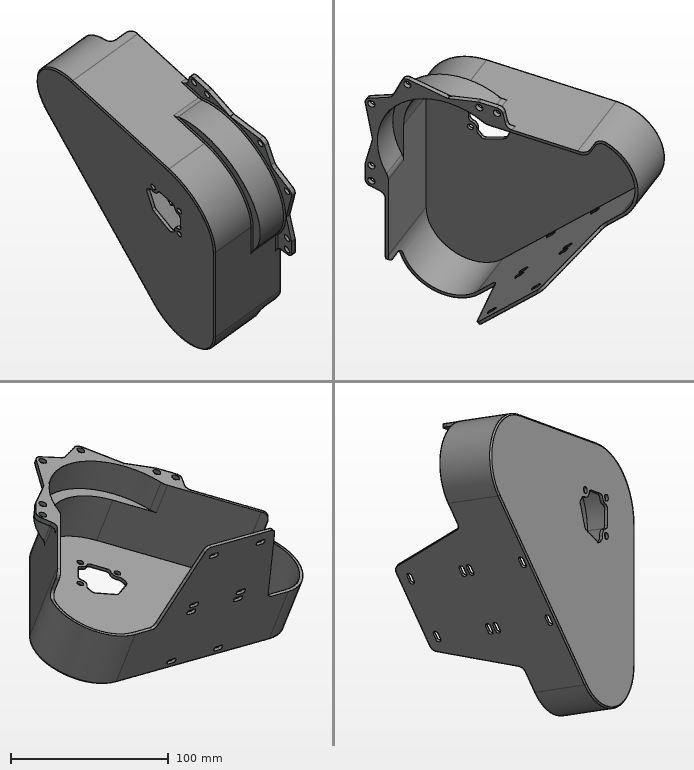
import cadquery as cq
import math

TOTAL = 184.7
DEPTH = 97.3

SHELL_TOP = 170.5
TIP_R = 34.0
CORNER_R = 44.5
WALL = 2.2
EDGE = 1.0
LOW_RIM = 38.5
HIGH_RIM = 56.0
STEP_AT = 27.9
ROUND_R = 5.0
TIP_FAR = SHELL_TOP - TIP_R
CORNER = SHELL_TOP - CORNER_R

BULGE_R = 52.3
BULGE_FRONT = 32.0
BULGE_FOOT_R = 6.5

FLANGE_T = 3.1
FLANGE_FRONT = HIGH_RIM - FLANGE_T
PAD_R = 4.5
PAD_LINE = TOTAL - PAD_R
PAD_ALONG = (91.2, 103.8, 154.8)
PAD_HOLE_D = 5.0
WAIST_R = 53.5
NOTCH = 165.9
FOOT_LEAN = 13.0

TAB_HALF = 31.8
TAB_FLARE = 20.0
SLOT_W = 3.3
SLOT_L = 8.0
SLOT_HALF_SPACING = 22.2
SLOT_ROWS = (5.4, 44.5, 50.0, 89.2)

WINDOW_HOLES = (112.0, 136.9)
WINDOW_HOLE_D = 4.2
WINDOW_LAND_R = 4.6
WINDOW_EDGE = 138.2
WINDOW_SHORT = 115.0
WINDOW_TIP = (105.3, 128.2)
WINDOW_INNER = 111.5
WINDOW_ROUND_R = 2.8

TOL = 0.02


def at_depth(y):
    """Sketch plane parallel to the front face: local x is X, local y is Z."""
    return cq.Workplane("XZ", origin=(0, y, 0))


def polar(center, radius, degrees):
    """Point at a radius and bearing from center, counterclockwise from +X toward +Z."""
    angle = math.radians(degrees)
    return (center[0] + radius * math.cos(angle), center[1] + radius * math.sin(angle))


def with_mirror(half):
    """Half plus its mirror image about the plane X = Z."""
    return half.union(half.mirror(cq.Vector(1, 0, -1)))


def shell_block(inset, y_start, y_end):
    """Solid with the triangular outline, moved inward by inset."""
    left, right, low = (TIP_R, TIP_FAR), (CORNER, CORNER), (TIP_FAR, TIP_R)
    tip_r = TIP_R - inset
    corner_r = CORNER_R - inset
    return (
        at_depth(y_start)
        .moveTo(*polar(left, tip_r, 225))
        .threePointArc(polar(left, tip_r, 157.5), polar(left, tip_r, 90))
        .lineTo(*polar(right, corner_r, 90))
        .threePointArc(polar(right, corner_r, 45), polar(right, corner_r, 0))
        .lineTo(*polar(low, tip_r, 0))
        .threePointArc(polar(low, tip_r, -67.5), polar(low, tip_r, -135))
        .close()
        .extrude(y_start - y_end)
    )


def corner_disc(radius, y_start, y_end):
    """Disc centered on the axis of the top right corner."""
    return at_depth(y_start).center(CORNER, CORNER).circle(radius).extrude(y_start - y_end)


def tangent_bearing(pad, target, side):
    """Bearing, seen from the pad center, where a line from target touches the pad circle.

    side 1 picks the touch point counterclockwise of the target, side -1 the other one.
    """
    dx = target[0] - pad[0]
    dz = target[1] - pad[1]
    bearing = math.degrees(math.atan2(dz, dx))
    swing = math.degrees(math.acos(PAD_R / math.hypot(dx, dz)))
    return bearing + side * swing


def flange():
    """Flat flange whose outline wraps the screw pads and reaches inward to the corner axis."""
    first, second, third = [(x, PAD_LINE) for x in PAD_ALONG]
    waist = (CORNER, CORNER + WAIST_R)
    notch = (NOTCH, NOTCH)

    end_bearing = 180 - FOOT_LEAN
    end_top = polar(first, PAD_R, end_bearing)
    lean = math.radians(FOOT_LEAN)
    foot_x = end_top[0] - (end_top[1] - SHELL_TOP) * math.tan(lean)
    foot_reach = ROUND_R * math.tan((math.pi / 2 - lean) / 2)
    foot_start = (foot_x - foot_reach, SHELL_TOP)
    foot_center = (foot_start[0], SHELL_TOP + ROUND_R)
    foot_mid = polar(foot_center, ROUND_R, -(90 + FOOT_LEAN) / 2)
    foot_end = polar(foot_center, ROUND_R, -FOOT_LEAN)

    second_bearing = tangent_bearing(second, waist, 1)
    second_mid = polar(second, PAD_R, (90 + second_bearing) / 2)
    second_end = polar(second, PAD_R, second_bearing)
    third_start = polar(third, PAD_R, tangent_bearing(third, waist, -1))
    third_end = polar(third, PAD_R, tangent_bearing(third, notch, 1))

    half = (
        at_depth(FLANGE_FRONT)
        .moveTo(CORNER, CORNER)
        .lineTo(foot_start[0], CORNER)
        .lineTo(*foot_start)
        .threePointArc(foot_mid, foot_end)
        .lineTo(*end_top)
        .threePointArc(polar(first, PAD_R, (90 + end_bearing) / 2), (first[0], TOTAL))
        .lineTo(second[0], TOTAL)
        .threePointArc(second_mid, second_end)
        .lineTo(*waist)
        .lineTo(*third_start)
        .threePointArc((third[0], TOTAL), third_end)
        .lineTo(*notch)
        .close()
        .extrude(-FLANGE_T)
    )

    def is_notch_edge(edge):
        mid = edge.positionAt(0.5)
        return math.hypot(mid.x - NOTCH, mid.z - NOTCH) < TOL

    return with_mirror(half).edges("|Y").filter(is_notch_edge).fillet(ROUND_R)


def is_on_flat(point):
    """True on the outside of the flat top wall or the flat right wall."""
    return abs(max(point.x, point.z) - SHELL_TOP) < TOL


def is_bulge_side_edge(edge):
    """True for the edges along Y where the bulge meets the flat walls."""
    mid = edge.positionAt(0.5)
    return is_on_flat(mid) and BULGE_FRONT < mid.y < FLANGE_FRONT


def is_foot_edge(edge):
    """True for the inner edges at the bulge front on the shell and at the flange front."""
    mid = edge.positionAt(0.5)
    reach = math.hypot(mid.x - CORNER, mid.z - CORNER)
    on_shell = is_on_flat(mid) or abs(reach - CORNER_R) < TOL
    on_bulge = abs(reach - BULGE_R) < TOL
    on_bulge_front = abs(mid.y - BULGE_FRONT) < TOL
    on_flange_front = abs(mid.y - FLANGE_FRONT) < TOL
    return (on_bulge_front and on_shell) or (on_flange_front and (on_shell or on_bulge))


def outer_body():
    """Solid shell, bulge and flange with all outer chamfers."""
    shell = shell_block(0, 0, HIGH_RIM).faces("<Y").edges().chamfer(EDGE)
    body = shell.union(corner_disc(BULGE_R, BULGE_FRONT, HIGH_RIM)).union(flange())
    body = body.edges().filter(is_foot_edge).chamfer(EDGE)
    return body.edges("|Y").filter(is_bulge_side_edge).fillet(BULGE_FOOT_R)


def cavity():
    """Hollow of the shell and the bulge, one wall thickness inside the outer body."""

    def is_inner_side_edge(edge):
        mid = edge.positionAt(0.5)
        on_inner_flat = abs(max(mid.x, mid.z) - SHELL_TOP + WALL) < TOL
        return on_inner_flat and min(mid.x, mid.z) < CORNER - TOL and mid.y > BULGE_FRONT

    room = shell_block(WALL, WALL, HIGH_RIM)
    room = room.union(corner_disc(BULGE_R - WALL, BULGE_FRONT + WALL, HIGH_RIM))
    return room.edges("|Y").filter(is_inner_side_edge).fillet(BULGE_FOOT_R + WALL)


def rim_step():
    """Cutter that lowers the rim of the two tips and of the diagonal wall."""
    mid_reach = ROUND_R * math.sqrt(0.5)
    lower = (STEP_AT - ROUND_R, LOW_RIM + ROUND_R)
    upper = (STEP_AT + ROUND_R, HIGH_RIM - ROUND_R)
    tip = (
        cq.Workplane("XY")
        .moveTo(0, LOW_RIM)
        .lineTo(lower[0], LOW_RIM)
        .threePointArc((lower[0] + mid_reach, lower[1] - mid_reach), (STEP_AT, lower[1]))
        .lineTo(STEP_AT, upper[1])
        .threePointArc((upper[0] - mid_reach, upper[1] + mid_reach), (upper[0], HIGH_RIM))
        .lineTo(0, HIGH_RIM)
        .close()
        .extrude(TOTAL)
    )
    leg = CORNER + STEP_AT
    diagonal = (
        at_depth(LOW_RIM)
        .polyline([(0, 0), (leg, 0), (0, leg)])
        .close()
        .extrude(LOW_RIM - HIGH_RIM)
    )
    return with_mirror(tip).union(diagonal)


def diagonal_plane():
    """Sketch plane on the diagonal wall: local x runs along the wall, local y is Y."""
    middle = (SHELL_TOP - TIP_R * math.sqrt(2)) / 2
    return cq.Workplane(cq.Plane(origin=(middle, 0, middle), xDir=(-1, 0, 1), normal=(-1, 0, -1)))


def tab():
    """Flared tab that continues the diagonal wall."""
    length = DEPTH - LOW_RIM
    root_half = TAB_HALF + length * math.tan(math.radians(TAB_FLARE))
    wall_half = (TIP_FAR - TIP_R) / math.sqrt(2)
    plate = (
        diagonal_plane()
        .polyline([
            (-wall_half, LOW_RIM - WALL),
            (-wall_half, LOW_RIM),
            (-root_half, LOW_RIM),
            (-TAB_HALF, DEPTH),
            (TAB_HALF, DEPTH),
            (root_half, LOW_RIM),
            (wall_half, LOW_RIM),
            (wall_half, LOW_RIM - WALL),
        ])
        .close()
        .extrude(-WALL)
    )

    def is_profile_corner(edge):
        mid = edge.positionAt(0.5)
        from_middle = abs(mid.x - mid.z) / math.sqrt(2)
        return mid.y > LOW_RIM - TOL and from_middle < root_half + TOL

    normal_edges = cq.selectors.ParallelDirSelector(cq.Vector(1, 0, 1))
    return plate.edges(normal_edges).filter(is_profile_corner).fillet(ROUND_R)


def tab_slots():
    """Two columns of slots through the tab and the diagonal wall."""
    spots = [(side * SLOT_HALF_SPACING, y) for side in (-1, 1) for y in SLOT_ROWS]
    return diagonal_plane().pushPoints(spots).slot2D(SLOT_L, SLOT_W).extrude(-WALL)


def window():
    """Opening in the front plate that leaves round lands for three screw holes."""
    low, high = WINDOW_HOLES
    tip_x, tip_z = WINDOW_TIP
    spots = [(low, high), (high, high), (high, low)]
    opening = (
        at_depth(0)
        .polyline([
            (WINDOW_INNER, WINDOW_INNER),
            (tip_x, tip_z),
            (WINDOW_SHORT, WINDOW_EDGE),
            (WINDOW_EDGE, WINDOW_EDGE),
            (WINDOW_EDGE, WINDOW_SHORT),
            (tip_z, tip_x),
        ])
        .close()
        .extrude(-WALL)
    )
    lands = at_depth(0).pushPoints(spots).circle(WINDOW_LAND_R).extrude(-WALL)
    opening = opening.cut(lands).edges("|Y").fillet(WINDOW_ROUND_R)
    holes = at_depth(0).pushPoints(spots).circle(WINDOW_HOLE_D / 2).extrude(-WALL)
    return opening.union(holes)


def pad_holes():
    """Screw holes through the flange pads."""
    spots = [(x, PAD_LINE) for x in PAD_ALONG]
    holes = at_depth(FLANGE_FRONT).pushPoints(spots).circle(PAD_HOLE_D / 2).extrude(-FLANGE_T)
    return with_mirror(holes)


cover = outer_body().cut(cavity()).cut(rim_step()).union(tab())
result = cover.cut(tab_slots()).cut(window()).cut(pad_holes())